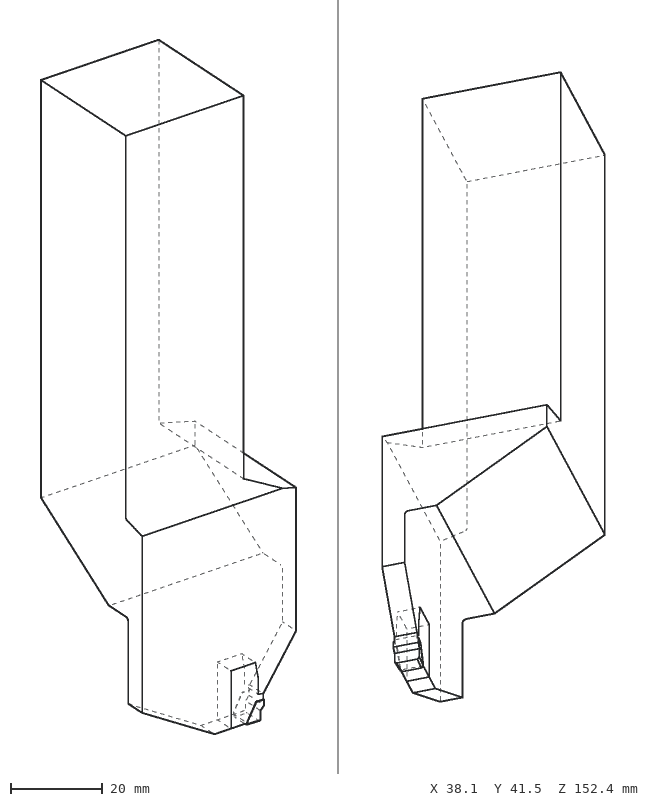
import cadquery as cq
import math

length = 152.4
shank_size = 31.7
head_depth = 41.5

blade_right = 37.8
blade_thickness = 5.2
blade_left = blade_right - blade_thickness
shoulder_z = 57.5
shoulder_angle = math.radians(15)
shoulder_fillet = 0.6
underside_z = 33.2
underside_left_z = 48.9
underside_flat_x = 25.3
underside_fillet = 0.9

nose_z = 0.6
nose_front_y = 19.5
front_corner_z = 12.0
back_corner_z = 19.4

insert_front_y = 24.0
insert_top_y = 30.5
insert_top_z = 15.0
insert_back_y = 31.2
insert_bend_z = 10.8
insert_step_z = 6.9
insert_nose_y = 32.6
insert_nose_z = 6.5
chip_top_z = 3.8
chip_bottom_z = 2.7
cutting_edge_y = 31.7
tip_overhang = 0.3
tip_front_overhang = 0.08
tip_corner_chamfer = 0.5
tip_front_y = 28.3
tip_front_z = 1.0
tip_shelf_y = 30.6
tip_shelf_z = 5.2


def prism_along_x(points, x_start, x_end):
    """Extrude a closed YZ outline between two X positions."""
    return cq.Workplane("YZ", origin=(x_start, 0, 0)).polyline(points).close().extrude(x_end - x_start)


def make_front_profile():
    """Shank, shoulder, sloped underside and thin blade, outlined in XZ."""
    shoulder_drop = (blade_right - shank_size) * math.tan(shoulder_angle)
    points = [
        (0, underside_left_z),
        (0, length),
        (shank_size, length),
        (shank_size, shoulder_z),
        (blade_right, shoulder_z - shoulder_drop),
        (blade_right, 0),
        (blade_left, 0),
        (blade_left, underside_z),
        (underside_flat_x, underside_z),
    ]
    body = cq.Workplane("XZ").polyline(points).close().extrude(-head_depth)
    shoulder_point = (shank_size, head_depth / 2, shoulder_z)
    body = body.edges(cq.selectors.NearestToPointSelector(shoulder_point)).fillet(shoulder_fillet)
    underside_point = (blade_left, head_depth / 2, underside_z)
    return body.edges(cq.selectors.NearestToPointSelector(underside_point)).fillet(underside_fillet)


def make_side_profile():
    """Outline in YZ that bounds the shank, rear shoulder and blade nose."""
    shoulder_drop = (head_depth - shank_size) * math.tan(shoulder_angle)
    points = [
        (0, front_corner_z),
        (0, length),
        (shank_size, length),
        (shank_size, shoulder_z),
        (head_depth, shoulder_z - shoulder_drop),
        (head_depth, back_corner_z),
        (insert_nose_y, insert_nose_z),
        (tip_front_y, nose_z),
        (nose_front_y, nose_z),
    ]
    return prism_along_x(points, 0, blade_right)


def make_tip_plan():
    """Plan outline of the tip, whose flanks narrow away from the cutting face."""
    points = [
        (blade_left - tip_front_overhang, tip_front_y),
        (blade_right + tip_front_overhang, tip_front_y),
        (blade_right + tip_overhang, insert_nose_y),
        (blade_left - tip_overhang, insert_nose_y),
    ]
    return cq.Workplane("XY").polyline(points).close().extrude(tip_shelf_z)


def make_insert():
    """Insert body, as thick as the blade, with a wider cutting tip."""
    body_points = [
        (insert_front_y, nose_z),
        (insert_front_y, insert_top_z),
        (insert_top_y, insert_top_z),
        (insert_back_y, insert_bend_z),
        (insert_back_y, insert_step_z),
        (insert_nose_y, insert_nose_z),
        (insert_nose_y, chip_top_z),
        (cutting_edge_y, chip_bottom_z),
        (cutting_edge_y, nose_z),
    ]
    tip_points = [
        (tip_front_y, 0),
        (tip_front_y, tip_front_z),
        (tip_shelf_y, tip_shelf_z),
        (insert_nose_y, tip_shelf_z),
        (insert_nose_y, chip_top_z),
        (cutting_edge_y, chip_bottom_z),
        (cutting_edge_y, 0),
    ]
    body = prism_along_x(body_points, blade_left, blade_right)
    tip = prism_along_x(tip_points, blade_left - tip_overhang, blade_right + tip_overhang)
    tip = tip.intersect(make_tip_plan())
    tip = tip.faces("<Z").edges("not |X").chamfer(tip_corner_chamfer)
    return body.union(tip)


def make_holder(insert):
    """Tool holder with a pocket matching the insert."""
    return make_front_profile().intersect(make_side_profile()).cut(insert)


insert = make_insert()
holder = make_holder(insert)

result = cq.Compound.makeCompound([holder.val(), insert.val()])